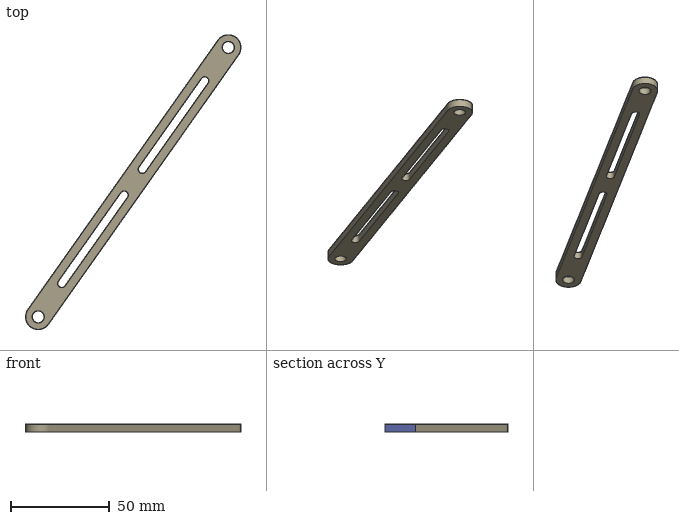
import cadquery as cq
import math

size_x = 108.8
size_y = 148.9
thickness = 4.0

end_radius = 6.4
hole_diameter = 6.0
slot_width = 4.0
slot_length = 58.7
slot_offset = 35.3

span_x = size_x - 2 * end_radius
span_y = size_y - 2 * end_radius
hole_spacing = math.hypot(span_x, span_y)
bar_angle = math.degrees(math.atan2(span_y, span_x))


def make_bar():
    """Flat bar with full-round ends, lying along X."""
    bar_length = hole_spacing + 2 * end_radius
    return cq.Workplane("XY").slot2D(bar_length, 2 * end_radius).extrude(thickness)


def cut_pivot_holes(bar):
    """Through hole concentric with each round end."""
    centres = [(-hole_spacing / 2, 0), (hole_spacing / 2, 0)]
    return bar.faces(">Z").workplane().pushPoints(centres).hole(hole_diameter)


def cut_slots(bar):
    """Two through slots in line along the bar."""
    centres = [(-slot_offset, 0), (slot_offset, 0)]
    slots = cq.Workplane("XY").pushPoints(centres).slot2D(slot_length, slot_width)
    return bar.cut(slots.extrude(thickness))


bar = cut_slots(cut_pivot_holes(make_bar()))
result = bar.rotate((0, 0, 0), (0, 0, 1), bar_angle)